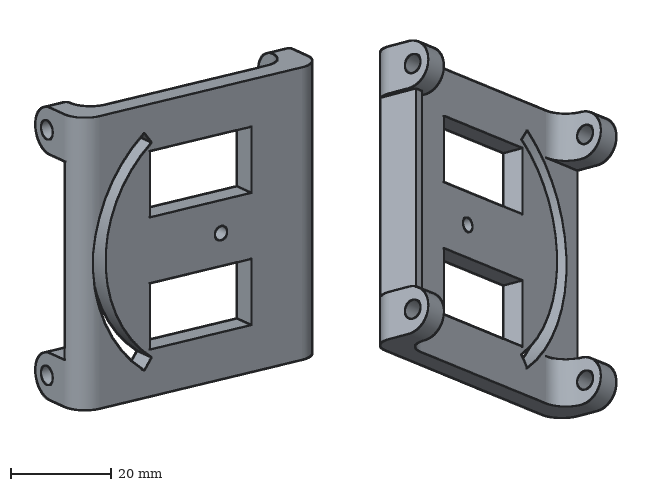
import cadquery as cq
import math

DEPTH = 15.0
WIDTH = 60.0
HEIGHT = 62.0

THICKNESS = 5.0
INNER_BEND_RADIUS = 5.0
OUTER_BEND_RADIUS = 5.0

LUG_HEIGHT = 10.0
LUG_HOLE_DIAMETER = 4.0
LUG_HOLE_X = 4.0

WALL_FRONT_X = 4.0
WALL_THICKNESS = 2.0
WALL_SETBACK = 1.0

WINDOW_WIDTH = 25.0
WINDOW_HEIGHT = 14.0
WINDOW_CENTER_Z = 14.0
PIVOT_Y = 5.0
PIVOT_DIAMETER = 3.0
SLOT_RADIUS = 30.0
SLOT_WIDTH = 3.0
SLOT_HALF_ANGLE = 53.0

PLATE_FRONT_X = DEPTH - THICKNESS
LUG_RADIUS = LUG_HEIGHT / 2
LUG_CENTER_Z = HEIGHT / 2 - LUG_RADIUS
LUG_GAP = HEIGHT - 2 * LUG_HEIGHT


def make_channel():
    """U section of back plate and side arms, full height, open toward -X."""
    outer = (
        cq.Workplane("XY")
        .box(DEPTH, WIDTH, HEIGHT, centered=(False, True, True))
        .edges("|Z and >X")
        .fillet(OUTER_BEND_RADIUS)
    )
    cavity = (
        cq.Workplane("XY")
        .box(PLATE_FRONT_X, WIDTH - 2 * THICKNESS, HEIGHT, centered=(False, True, True))
        .edges("|Z and >X")
        .fillet(INNER_BEND_RADIUS)
    )
    return outer.cut(cavity)


def make_lug_profile(center_z):
    """Side silhouette of one lug pair: a round nose running back into the plate."""
    nose = (
        cq.Workplane("XZ")
        .center(LUG_RADIUS, center_z)
        .circle(LUG_RADIUS)
        .extrude(WIDTH / 2, both=True)
    )
    arm = cq.Workplane("XY").box(
        DEPTH - LUG_RADIUS, WIDTH, LUG_HEIGHT, centered=(False, True, True)
    )
    return nose.union(arm.translate((LUG_RADIUS, 0, center_z)))


def make_lug_hole(center_z):
    """Cylinder along Y through both lugs of a pair."""
    return (
        cq.Workplane("XZ")
        .center(LUG_HOLE_X, center_z)
        .circle(LUG_HOLE_DIAMETER / 2)
        .extrude(WIDTH / 2, both=True)
    )


def make_body():
    """Channel trimmed to the plate and its four drilled lugs."""
    plate = cq.Workplane("XY").box(THICKNESS, WIDTH, HEIGHT, centered=(False, True, True))
    silhouette = plate.translate((PLATE_FRONT_X, 0, 0))
    for center_z in (-LUG_CENTER_Z, LUG_CENTER_Z):
        silhouette = silhouette.union(make_lug_profile(center_z))
    body = make_channel().intersect(silhouette)
    for center_z in (-LUG_CENTER_Z, LUG_CENTER_Z):
        body = body.cut(make_lug_hole(center_z))
    return body


def make_side_wall():
    """Thin wall standing on the plate between the two +Y lugs."""
    wall = cq.Workplane("XY").box(
        PLATE_FRONT_X - WALL_FRONT_X, WALL_THICKNESS, LUG_GAP, centered=(False, False, True)
    )
    return wall.translate((WALL_FRONT_X, WIDTH / 2 - WALL_SETBACK - WALL_THICKNESS, 0))


def make_side_step():
    """Material removed so the +Y side steps in, flush with the wall, between the lugs."""
    step = cq.Workplane("XY").box(DEPTH, WALL_SETBACK, LUG_GAP, centered=(False, False, True))
    return step.translate((0, WIDTH / 2 - WALL_SETBACK, 0))


def make_windows():
    """Two rectangular openings, one above and one below the middle."""
    return (
        cq.Workplane("YZ")
        .pushPoints([(0, -WINDOW_CENTER_Z), (0, WINDOW_CENTER_Z)])
        .rect(WINDOW_WIDTH, WINDOW_HEIGHT)
        .extrude(DEPTH)
    )


def make_pivot_hole():
    """Round hole at the centre of the arc slot."""
    return cq.Workplane("YZ").center(PIVOT_Y, 0).circle(PIVOT_DIAMETER / 2).extrude(DEPTH)


def slot_point(radius, angle):
    """(Y, Z) at a radius from the pivot and an angle up from the -Y direction."""
    turn = math.radians(angle)
    return (PIVOT_Y - radius * math.cos(turn), radius * math.sin(turn))


def make_arc_slot():
    """Slot with radial ends, curved about the pivot hole."""
    inner = SLOT_RADIUS - SLOT_WIDTH / 2
    outer = SLOT_RADIUS + SLOT_WIDTH / 2
    return (
        cq.Workplane("YZ")
        .moveTo(*slot_point(inner, -SLOT_HALF_ANGLE))
        .threePointArc(slot_point(inner, 0), slot_point(inner, SLOT_HALF_ANGLE))
        .lineTo(*slot_point(outer, SLOT_HALF_ANGLE))
        .threePointArc(slot_point(outer, 0), slot_point(outer, -SLOT_HALF_ANGLE))
        .close()
        .extrude(DEPTH)
    )


result = (
    make_body()
    .union(make_side_wall())
    .cut(make_side_step())
    .cut(make_windows())
    .cut(make_pivot_hole())
    .cut(make_arc_slot())
)